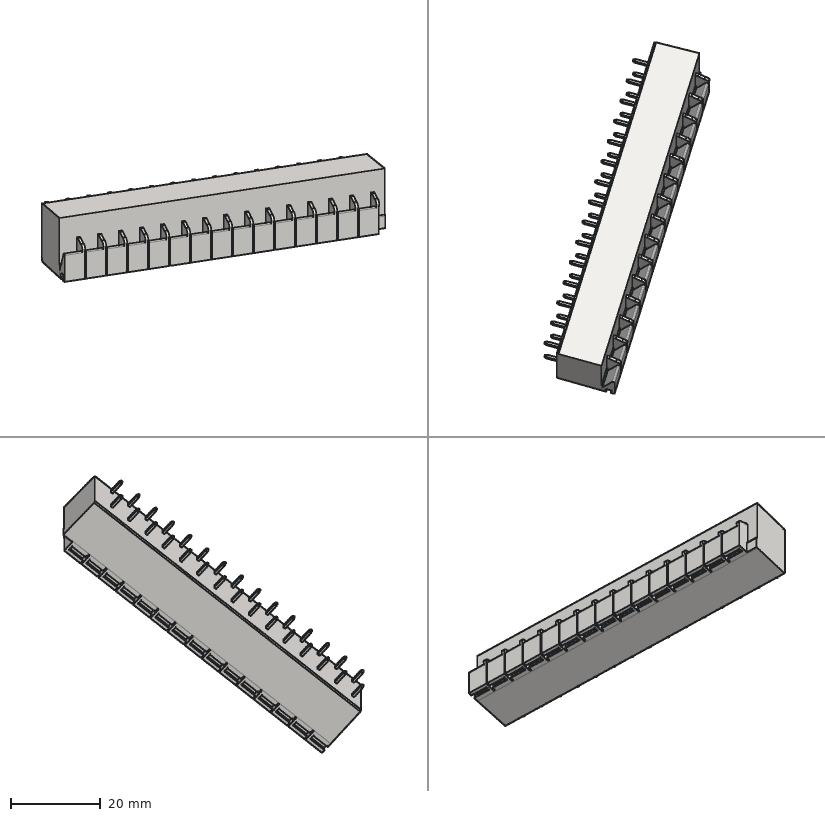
import cadquery as cq
import math

pitch = 5.08
pole_count = 15
length = 15.5 * pitch
height = 14.23
pin_length = 3.5
lever_reach = 17.1
body_front = 13.95

draft_drop = 0.12
draft_slope = draft_drop / (body_front - pin_length)
draft_angle = math.degrees(math.atan(draft_slope))
top_chamfer_x = 0.45
top_chamfer_z = 0.15
bottom_chamfer_x = 0.25
bottom_chamfer_z = 0.65

lip_thickness = 0.25
lip_height = 3.2
lip_edge_radius = 0.2

pin_width = 0.6
pin_height = 0.9
pin_embedment = 1.0
pin_tip_length = 0.5
pin_tip_width = 0.4
pin_tip_height = 0.25
first_pin_from_end = pitch
upper_row_z = height - 1.75
row_spacing = 1.5 * pitch

lever_thickness = 0.7
first_lever_from_end = 3.05
lever_top_z = 9.0
lever_nose_z = 7.2
lever_nose_radius = 1.0
lever_flat = 0.6
block_front = 16.98
block_top_z = 6.7
block_land = 0.5
ramp_crest_radius = 0.35
block_edge_radius = 0.25
ramp_foot_z = 1.95
block_gap = 0.3
notch_start = 14.85
notch_width = 1.4
notch_mouth_step = 0.2
notch_mouth_height = 0.45
notch_height = 1.45
notch_chamfer = 0.35

end_y = length / 2


def extrude_along_y(outline, y_start, y_end):
    """Extrude a closed XZ outline from y_start to y_end."""
    return outline.extrude(y_start - y_end).translate((0, y_start, 0))


def make_housing():
    """Drafted block with its two long pin-face edges chamfered, and the lip on its lever face."""
    body = (
        cq.Workplane("YZ", origin=(body_front, 0, height / 2))
        .rect(length, height)
        .extrude(pin_length - body_front, taper=draft_angle)
    )
    pin_face_top = height - draft_drop
    pin_face_bottom = draft_drop
    top_cut = cq.Workplane("XZ").polyline([
        (pin_length, height),
        (pin_length + top_chamfer_x, height),
        (pin_length + top_chamfer_x, pin_face_top + draft_slope * top_chamfer_x),
        (pin_length, pin_face_top - top_chamfer_z),
    ]).close()
    bottom_cut = cq.Workplane("XZ").polyline([
        (pin_length, 0),
        (pin_length + bottom_chamfer_x, 0),
        (pin_length + bottom_chamfer_x, pin_face_bottom - draft_slope * bottom_chamfer_x),
        (pin_length, pin_face_bottom + bottom_chamfer_z),
    ]).close()
    body = body.cut(extrude_along_y(top_cut, -end_y, end_y))
    body = body.cut(extrude_along_y(bottom_cut, -end_y, end_y))
    lip = cq.Workplane("XY").box(lip_thickness, length, lip_height, centered=(False, True, False))
    lip = lip.edges(">X and >Z").fillet(lip_edge_radius)
    return body.union(lip.translate((body_front, 0, 0)))


def make_pin(y, z):
    """Rectangular pin along X with a tapered tip at X = 0."""
    shank = (
        cq.Workplane("YZ", origin=(pin_tip_length, y, z))
        .rect(pin_width, pin_height)
        .extrude(pin_length + pin_embedment - pin_tip_length)
    )
    tip = (
        cq.Workplane("YZ", origin=(0, y, z))
        .rect(pin_tip_width, pin_tip_height)
        .workplane(offset=pin_tip_length)
        .rect(pin_width, pin_height)
        .loft(combine=True)
    )
    return shank.union(tip)


def make_lever(y_top):
    """Thin rib with a sloping top and a rounded nose; its upper Y face is at y_top."""
    nose_x = lever_reach - lever_nose_radius
    nose_diagonal = lever_nose_radius * math.sqrt(0.5)
    nose_middle = (nose_x + nose_diagonal, lever_nose_z + nose_diagonal)
    outline = (
        cq.Workplane("XZ")
        .moveTo(body_front, 0)
        .lineTo(body_front, lever_top_z)
        .lineTo(body_front + lever_flat, lever_top_z)
        .lineTo(nose_x, lever_nose_z + lever_nose_radius)
        .threePointArc(nose_middle, (lever_reach, lever_nose_z))
        .lineTo(block_front, block_top_z)
        .lineTo(block_front, 0)
        .close()
    )
    return extrude_along_y(outline, y_top - lever_thickness, y_top)


def make_block(y_low, y_high):
    """Entry block with a ramp falling toward the housing and a notch under it."""
    outline = cq.Workplane("XZ").polyline([
        (body_front, 0),
        (block_front, 0),
        (block_front, block_top_z),
        (block_front - block_land, block_top_z),
        (body_front + lip_thickness, ramp_foot_z),
        (body_front, ramp_foot_z),
    ]).close()
    notch_end = notch_start + notch_width
    notch = cq.Workplane("XZ").polyline([
        (notch_start + notch_mouth_step, 0),
        (notch_start, notch_mouth_height),
        (notch_start, notch_height - notch_chamfer),
        (notch_start + notch_chamfer, notch_height),
        (notch_end, notch_height),
        (notch_end, notch_mouth_height),
        (notch_end - notch_mouth_step, 0),
    ]).close()
    block = extrude_along_y(outline, y_low, y_high)
    crest = cq.selectors.NearestToPointSelector(
        (block_front - block_land, (y_low + y_high) / 2, block_top_z)
    )
    block = block.edges("|Y").edges(crest).fillet(ramp_crest_radius)
    block = block.edges(">X and >Z").fillet(block_edge_radius)
    return block.cut(extrude_along_y(notch, y_low, y_high))


result = make_housing()
for index in range(pole_count):
    pin_y = end_y - first_pin_from_end - index * pitch
    for pin_z in (upper_row_z, upper_row_z - row_spacing):
        result = result.union(make_pin(pin_y, pin_z))

    lever_y = end_y - first_lever_from_end + lever_thickness / 2 - index * pitch
    result = result.union(make_lever(lever_y))

    is_last = index == pole_count - 1
    block_low = -end_y if is_last else lever_y - pitch + block_gap
    result = result.union(make_block(block_low, lever_y - lever_thickness))